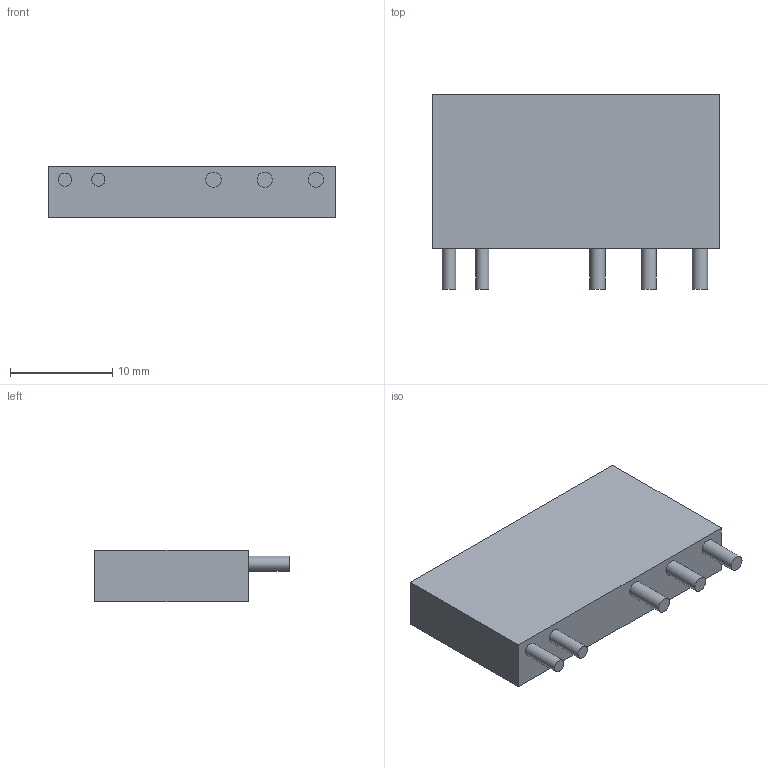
import cadquery as cq

body_length = 28.0
body_depth = 15.0
body_height = 5.0

pin_length = 4.0
pin_level = 3.7

thin_pin_diameter = 1.3
thin_pin_count = 2
thin_pin_pitch = 3.25
thin_pin_inset = 1.6

thick_pin_diameter = 1.5
thick_pin_count = 3
thick_pin_pitch = 5.0
thick_pin_inset = 1.9


def make_body():
    """Plain block behind the front plane."""
    return cq.Workplane("XY").box(
        body_length, body_depth, body_height, centered=(True, False, False)
    )


def make_pins(positions, diameter):
    """Equal pins at the given X positions, pointing toward -Y."""
    centres = [(x, pin_level) for x in positions]
    return cq.Workplane("XZ").pushPoints(centres).circle(diameter / 2).extrude(pin_length)


first_thin_x = -body_length / 2 + thin_pin_inset
thin_pin_positions = [first_thin_x + i * thin_pin_pitch for i in range(thin_pin_count)]

last_thick_x = body_length / 2 - thick_pin_inset
thick_pin_positions = [last_thick_x - i * thick_pin_pitch for i in range(thick_pin_count)]

result = (
    make_body()
    .union(make_pins(thin_pin_positions, thin_pin_diameter))
    .union(make_pins(thick_pin_positions, thick_pin_diameter))
)